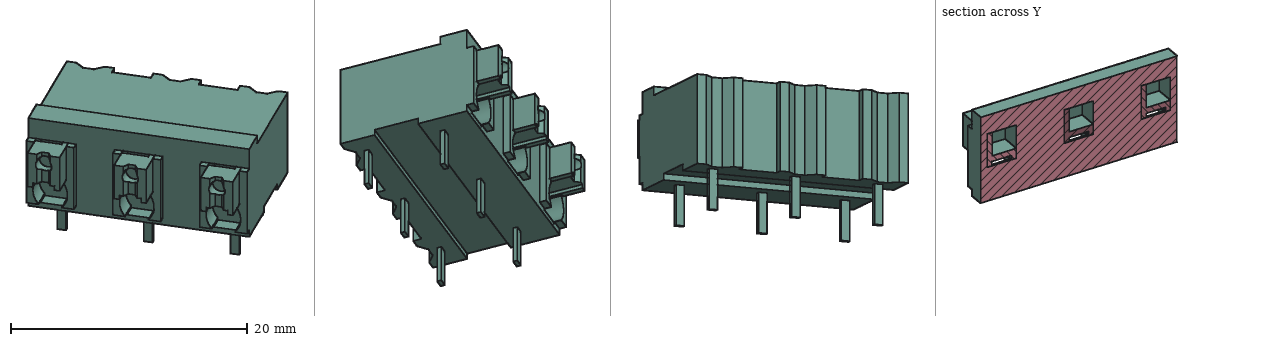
import cadquery as cq


POLE_PITCH = 7.63
POLE_CENTRES = [-POLE_PITCH, 0, POLE_PITCH]

WIDTH = 19.46
DEPTH = 11.7
HEIGHT = 8.5
REAR_TOP_STEP = 0.75
FRONT_RIDGE_DEPTH = 2.47
UNDERSIDE_GROOVE_START = 3.15
UNDERSIDE_GROOVE_WIDTH = 4.03
UNDERSIDE_GROOVE_HEIGHT = 0.55

PAD_WIDTH = WIDTH - 2 * POLE_PITCH
PAD_DEPTH = 0.62
PAD_TOP = HEIGHT - 1.89
PAD_BOTTOM = 0.65

REAR_RECESS_DEPTH = 0.75
REAR_GROOVE_DEPTH = 0.68
REAR_GROOVE_MOUTH = 2.53
REAR_GROOVE_FLOOR = 0.95

ENTRY_BULGE_WIDTH = 3.04
ENTRY_BULGE_HEIGHT = 2.53
ENTRY_BULGE_CENTRE = 1.95
ENTRY_SIDE_WIDTH = 2.06
ENTRY_FLOOR = 0.49
ENTRY_DEPTH = 1.28

BUTTON_WIDTH = 2.82
BUTTON_HEIGHT = 3.23
BUTTON_TOP = PAD_TOP
BUTTON_BOTTOM = BUTTON_TOP - BUTTON_HEIGHT
BUTTON_PROTRUSION = 1.98
BUTTON_FRONT = -PAD_DEPTH - BUTTON_PROTRUSION
BUTTON_HEAD_BACK = -0.35
BUTTON_ARM_WIDTH = 0.47
BUTTON_BASE_HEIGHT = 0.97
BUTTON_POCKET_DEPTH = 1.44
BUTTON_GROOVE_MOUTH = 1.2
BUTTON_GROOVE_FLOOR = 0.6
BUTTON_GROOVE_DEPTH = 0.49
BUTTON_NOTCH_WIDTH = 1.9
BUTTON_NOTCH_HEIGHT = 0.37
TOOL_HOLE_DIAMETER = 1.4
TOOL_HOLE_DROP = 1.03
TOOL_HOLE_DEPTH = 1.17

PIN_WIDTH = 0.78
PIN_THICKNESS = 0.39
PIN_LENGTH = 3.5
REAR_PIN_Y = DEPTH - 1.65
PIN_ROW_SPACING = 7.03
PIN_ROWS = [REAR_PIN_Y, REAR_PIN_Y - PIN_ROW_SPACING]


def box_between(x_range, y_range, z_range):
    """Box spanning the given (low, high) limits along each axis."""
    lows, highs = zip(x_range, y_range, z_range)
    sizes = [high - low for low, high in zip(lows, highs)]
    return cq.Workplane("XY").box(*sizes, centered=False).translate(lows)


def centred_range(centre, width):
    """Limits of a width placed evenly about a centre."""
    return (centre - width / 2, centre + width / 2)


def trapezoid_groove(x, mouth_y, floor_y, mouth_width, floor_width, z_range):
    """Vertical groove with sloped flanks, wide at mouth_y and narrow at floor_y."""
    outline = [
        (x - mouth_width / 2, mouth_y),
        (x - floor_width / 2, floor_y),
        (x + floor_width / 2, floor_y),
        (x + mouth_width / 2, mouth_y),
    ]
    bottom, top = z_range
    return cq.Workplane("XY").workplane(offset=bottom).polyline(outline).close().extrude(top - bottom)


def make_housing_block():
    """Side profile with the front ridge and the underside groove, over the full width."""
    groove_back = DEPTH - UNDERSIDE_GROOVE_START
    groove_front = groove_back - UNDERSIDE_GROOVE_WIDTH
    profile = [
        (0, 0),
        (0, HEIGHT),
        (FRONT_RIDGE_DEPTH, HEIGHT),
        (FRONT_RIDGE_DEPTH, HEIGHT - REAR_TOP_STEP),
        (DEPTH, HEIGHT - REAR_TOP_STEP),
        (DEPTH, 0),
        (groove_back, 0),
        (groove_back, UNDERSIDE_GROOVE_HEIGHT),
        (groove_front, UNDERSIDE_GROOVE_HEIGHT),
        (groove_front, 0),
    ]
    return cq.Workplane("YZ").polyline(profile).close().extrude(WIDTH / 2, both=True)


def make_front_pad(x):
    return box_between(centred_range(x, PAD_WIDTH), (-PAD_DEPTH, 0), (PAD_BOTTOM, PAD_TOP))


def make_rear_recess(x):
    """Recess in the rear face, between two neighbouring poles."""
    recess_width = POLE_PITCH - PAD_WIDTH
    return box_between(centred_range(x, recess_width), (DEPTH - REAR_RECESS_DEPTH, DEPTH), (0, HEIGHT))


def make_rear_groove(x):
    return trapezoid_groove(
        x, DEPTH, DEPTH - REAR_GROOVE_DEPTH, REAR_GROOVE_MOUTH, REAR_GROOVE_FLOOR, (0, HEIGHT)
    )


def make_button_pocket(x):
    return box_between(
        centred_range(x, BUTTON_WIDTH), (-PAD_DEPTH, BUTTON_POCKET_DEPTH), (BUTTON_BOTTOM, BUTTON_TOP)
    )


def make_wire_entry(x):
    """Opening from the pad face into the housing, from the entry floor up to the button pocket."""
    left, right = centred_range(x, ENTRY_SIDE_WIDTH)
    bulge_left, bulge_right = centred_range(x, ENTRY_BULGE_WIDTH)
    bulge_bottom, bulge_top = centred_range(ENTRY_BULGE_CENTRE, ENTRY_BULGE_HEIGHT)
    outline = (
        cq.Workplane("XZ", origin=(0, ENTRY_DEPTH, 0))
        .moveTo(left, ENTRY_FLOOR)
        .lineTo(left, bulge_bottom)
        .threePointArc((bulge_left, ENTRY_BULGE_CENTRE), (left, bulge_top))
        .lineTo(left, BUTTON_BOTTOM)
        .lineTo(right, BUTTON_BOTTOM)
        .lineTo(right, bulge_top)
        .threePointArc((bulge_right, ENTRY_BULGE_CENTRE), (right, bulge_bottom))
        .lineTo(right, ENTRY_FLOOR)
        .close()
    )
    return outline.extrude(ENTRY_DEPTH + PAD_DEPTH)


def make_housing():
    housing = make_housing_block()
    for x in POLE_CENTRES:
        housing = housing.union(make_front_pad(x))
    for x in POLE_CENTRES:
        housing = housing.cut(make_rear_groove(x))
        housing = housing.cut(make_button_pocket(x))
        housing = housing.cut(make_wire_entry(x))
    for left, right in zip(POLE_CENTRES, POLE_CENTRES[1:]):
        housing = housing.cut(make_rear_recess((left + right) / 2))
    return housing


def make_tool_hole(x):
    """Blind round hole in the button front."""
    axis_height = BUTTON_TOP - TOOL_HOLE_DROP
    front = cq.Workplane("XZ", origin=(x, BUTTON_FRONT, axis_height))
    return front.circle(TOOL_HOLE_DIAMETER / 2).extrude(-TOOL_HOLE_DEPTH)


def make_button(x):
    """Button that fills its pocket, apart from a recess in the top that leaves an arm on the +X side."""
    left, right = centred_range(x, BUTTON_WIDTH)
    length = (BUTTON_FRONT, BUTTON_POCKET_DEPTH)
    full_height = (BUTTON_BOTTOM, BUTTON_TOP)
    button = box_between((left, right), length, full_height)
    top_recess = box_between(
        (left, right - BUTTON_ARM_WIDTH),
        (BUTTON_HEAD_BACK, BUTTON_POCKET_DEPTH),
        (BUTTON_BOTTOM + BUTTON_BASE_HEIGHT, BUTTON_TOP),
    )
    guide_groove = trapezoid_groove(
        x, BUTTON_FRONT, BUTTON_FRONT + BUTTON_GROOVE_DEPTH,
        BUTTON_GROOVE_MOUTH, BUTTON_GROOVE_FLOOR, full_height,
    )
    bottom_notch = box_between(
        centred_range(x, BUTTON_NOTCH_WIDTH),
        length,
        (BUTTON_BOTTOM, BUTTON_BOTTOM + BUTTON_NOTCH_HEIGHT),
    )
    return button.cut(top_recess).cut(guide_groove).cut(make_tool_hole(x)).cut(bottom_notch)


def make_pin(x, y):
    return box_between(centred_range(x, PIN_WIDTH), centred_range(y, PIN_THICKNESS), (-PIN_LENGTH, 0))


housing = make_housing()
buttons = [make_button(x) for x in POLE_CENTRES]
pins = [make_pin(x, y) for x in POLE_CENTRES for y in PIN_ROWS]

result = cq.Compound.makeCompound([body.val() for body in [housing, *buttons, *pins]])